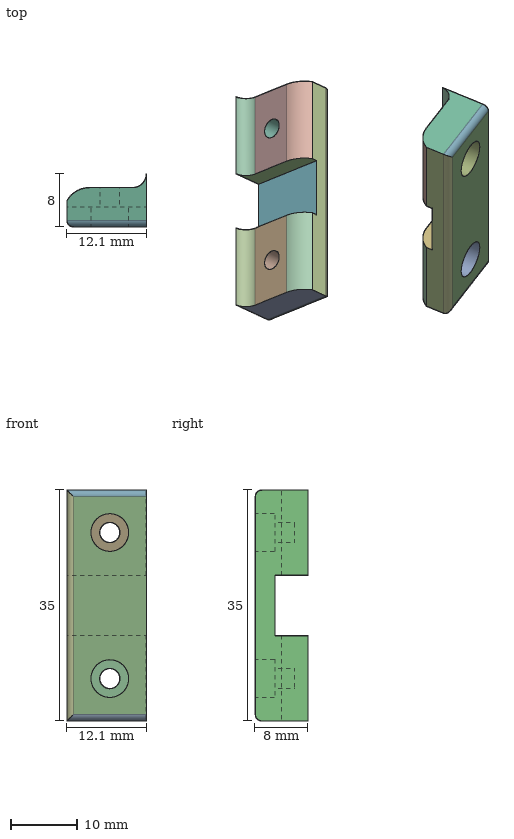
import cadquery as cq
import math

width = 12.08
height = 35.0
lip_reach = 8.0

body_depth = 6.0
side_depth = 4.0
corner_radius = 4.0
lip_tip_thickness = 0.07
lip_radius = lip_reach - body_depth
edge_radius = 1.0

notch_height = 9.1
notch_floor = 3.0

hole_x = 6.5
hole_spacing = 22.12
hole_diameter = 3.0
counterbore_diameter = 5.7
counterbore_depth = 3.0


def make_body():
    """Extrude the section with its rounded back corner and concave lip."""
    center_y = body_depth - corner_radius
    corner_run = math.sqrt(corner_radius**2 - (side_depth - center_y) ** 2)
    half_sweep = math.asin(corner_run / corner_radius) / 2
    corner_mid = (
        corner_run - corner_radius * math.sin(half_sweep),
        center_y + corner_radius * math.cos(half_sweep),
    )

    lip_x = width - lip_tip_thickness
    lip_start_x = lip_x - lip_radius
    lip_mid = (
        lip_start_x + lip_radius * math.sin(math.pi / 4),
        lip_reach - lip_radius * math.cos(math.pi / 4),
    )
    return (
        cq.Workplane("XY")
        .lineTo(0, side_depth)
        .threePointArc(corner_mid, (corner_run, body_depth))
        .lineTo(lip_start_x, body_depth)
        .threePointArc(lip_mid, (lip_x, lip_reach))
        .lineTo(width, lip_reach)
        .lineTo(width, 0)
        .close()
        .extrude(height)
    )


def round_front_edges(body):
    """Round the left, top and bottom edges of the front face."""
    front_edges = body.faces("<Y").edges("not(>X)")
    return body.newObject(front_edges.vals()).fillet(edge_radius)


def make_notch():
    """Full-width block that clears the middle of the back."""
    return (
        cq.Workplane("XY")
        .box(width, lip_reach - notch_floor, notch_height, centered=(False, False, True))
        .translate((0, notch_floor, height / 2))
    )


def make_screw_hole(z):
    """Through hole along Y, with its counterbore at the front."""
    front = cq.Workplane("XZ", origin=(hole_x, 0, z))
    bore = front.circle(hole_diameter / 2).extrude(-body_depth)
    counterbore = front.circle(counterbore_diameter / 2).extrude(-counterbore_depth)
    return bore.union(counterbore)


result = round_front_edges(make_body()).cut(make_notch())
for side in (-1, 1):
    result = result.cut(make_screw_hole(height / 2 + side * hole_spacing / 2))